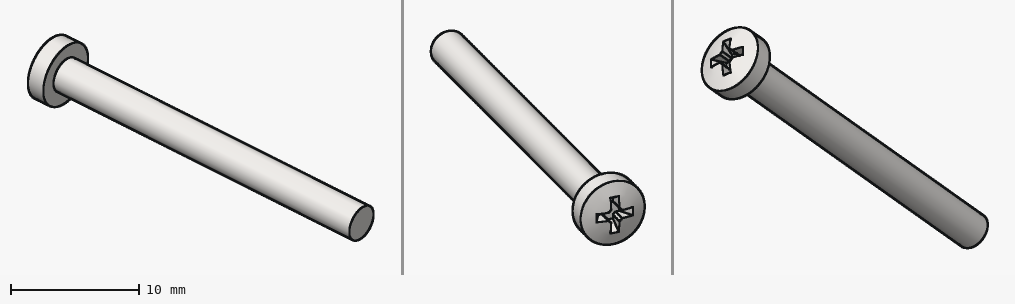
import cadquery as cq

overall_length = 32.12
shank_length = 30.03
shank_diameter = 3.0
head_diameter = 5.5
head_back = overall_length - shank_length
rim_thickness = 1.57
rim_front = head_back - rim_thickness
crown_apex = -0.03

recess_span = 3.28
recess_floor_span = 1.8
arm_width = 0.7
corner_reach = 0.58
recess_depth = 1.3


def make_body():
    """Revolve the domed head and plain shank about the X axis."""
    head_radius = head_diameter / 2
    crown_height = rim_front - crown_apex
    crown_radius = (head_radius**2 + crown_height**2) / (2 * crown_height)
    mid_height = head_radius / 2
    mid_crown = crown_apex + crown_radius - (crown_radius**2 - mid_height**2) ** 0.5
    return (
        cq.Workplane("XY")
        .moveTo(crown_apex, 0)
        .threePointArc((mid_crown, mid_height), (rim_front, head_radius))
        .lineTo(head_back, head_radius)
        .lineTo(head_back, shank_diameter / 2)
        .lineTo(overall_length, shank_diameter / 2)
        .lineTo(overall_length, 0)
        .close()
        .revolve(360, (0, 0, 0), (1, 0, 0))
    )


def make_recess():
    """Two crossing slots with sloped ends, joined by an eight-sided core."""
    mouth = -0.32
    end_slope = (recess_span - recess_floor_span) / 2 / recess_depth
    mouth_reach = recess_span / 2 - end_slope * mouth
    floor_reach = recess_floor_span / 2
    slot = (
        cq.Workplane("XZ")
        .polyline([
            (mouth, -mouth_reach),
            (mouth, mouth_reach),
            (recess_depth, floor_reach),
            (recess_depth, -floor_reach),
        ])
        .close()
        .extrude(arm_width / 2, both=True)
    )
    half_width = arm_width / 2
    core = (
        cq.Workplane("YZ", origin=(mouth, 0, 0))
        .rect(2 * corner_reach, 2 * corner_reach)
        .extrude(recess_depth - mouth)
        .edges("|X")
        .chamfer(corner_reach - half_width)
    )
    crossing_slot = slot.rotate((0, 0, 0), (1, 0, 0), 90)
    return slot.union(crossing_slot).union(core)


result = make_body().cut(make_recess())